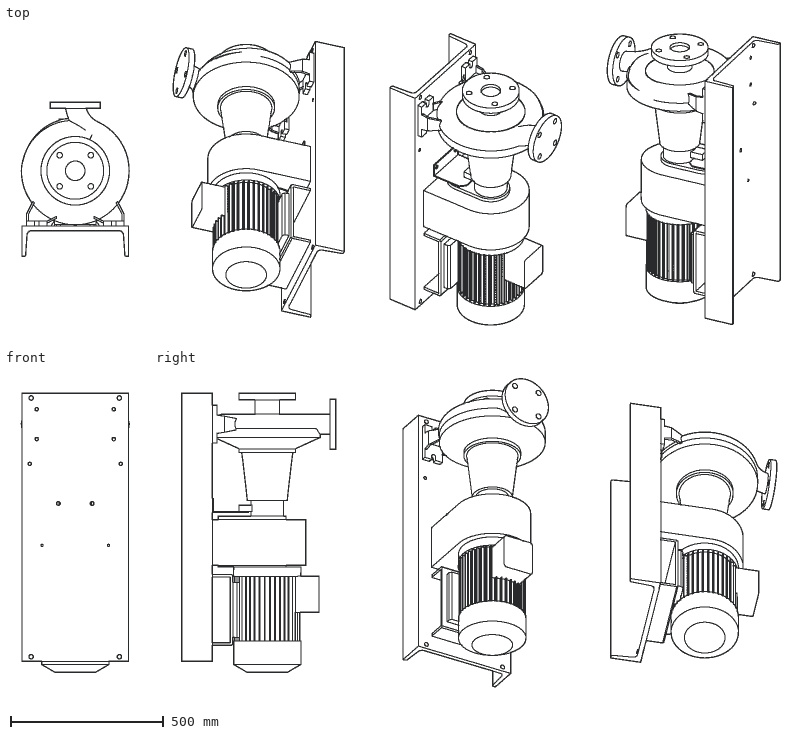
import cadquery as cq
import math


TOP_Z = 914.0
BASE_Y = -180.0
GUARD_TOP_Z = 500.0
GUARD_HEIGHT = 150.0
GUARD_BOTTOM_Z = GUARD_TOP_Z - GUARD_HEIGHT
COVER_TOP_THICK = 12.0
COVER_BOTTOM_THICK = 5.0
PUMP_BOTTOM_Z = GUARD_TOP_Z + COVER_TOP_THICK
MOTOR_TOP_Z = GUARD_BOTTOM_Z - COVER_BOTTOM_THICK

CHANNEL_WIDTH = 350.0
CHANNEL_DEPTH = 100.5
CHANNEL_LENGTH = 878.0
CHANNEL_WEB = 16.0
LEG_TIP = 13.0
LEG_ROOT = 18.0
CHANNEL_ROOT_FILLET = 15.0
CHANNEL_TIP_FILLET = 6.0
END_HOLE_X = 144.0
END_HOLE_INSET = 15.5
END_HOLE_DIA = 14.0
FOOT_HOLE_X = 126.0
FOOT_HOLE_DIA = 10.0
SPARE_HOLE_X = 149.0
SPARE_HOLE_Z = 683.0
SPARE_HOLE_DIA = 10.0
SUPPORT_HOLE_X = 55.0
SUPPORT_HOLE_Z = 553.0
SUPPORT_HOLE_DIA = 12.0
GUARD_HOLE_X = 109.0
GUARD_HOLE_Z = 416.0
GUARD_HOLE_DIA = 7.0

SUCTION_RADIUS = 93.0
SUCTION_THICK = 22.0
SUCTION_BOLT_RADIUS = 72.0
SUCTION_NECK_RADIUS = 40.0
BORE_RADIUS = 32.0
BORE_DEPTH = 11.0
BOLT_HOLE_DIA = 18.0
BOLT_COUNT = 4
FIRST_BOLT_ANGLE = 45

VOLUTE_Z = 813.0
VOLUTE_PATH_RADIUS = 143.5
VOLUTE_TUBE_DIA = 67.0
VOLUTE_TUBE_RADIUS = VOLUTE_TUBE_DIA / 2
VOLUTE_TAIL_HALF_WIDTH = 26.0
VOLUTE_TAIL_HALF_HEIGHT = 31.0
VOLUTE_TAIL_SECTIONS = 5

DISCHARGE_Y = 225.0
DISCHARGE_RADIUS = 82.0
DISCHARGE_THICK = 20.0
DISCHARGE_BOLT_RADIUS = 63.0

COVER_CONE_RADIUS = 112.0
COVER_CONE_Z = 828.0
COVER_HUB_Z = 841.0
CASING_RADIUS = 174.0
CASING_BOTTOM_Z = 769.0
COLLAR_RADIUS = SUCTION_RADIUS
COLLAR_TOP_Z = 732.0
COLLAR_BOTTOM_Z = 719.0
FRAME_TOP_RADIUS = 84.0
FRAME_BOTTOM_RADIUS = 66.0
FRAME_BOTTOM_Z = 562.0
BEARING_RADIUS = 54.0

LUG_WIDTH = 40.0
LUG_Y = -93.0
LUG_TOP_Z = 547.5

FOOT_OUTER_X = 160.0
FOOT_INNER_X = 93.0
FOOT_THICK = 15.5
FOOT_LENGTH = 124.0
FOOT_SLOT_WIDTH = 15.0
FOOT_SLOT_INSET = 13.0
RIB_THICK = 7.0
RIB_BEND_Y = -141.0
RIB_TIP_X = 139.0
RIB_TIP_Y = -100.5
RIB_TIP_HEIGHT = 37.5
RIB_BASE_HEIGHT = 61.0
INNER_RIB_BASE_Y = -165.0
INNER_RIB_TIP_X = 62.0
INNER_RIB_TIP_Y = -150.0
INNER_RIB_DROP = 6.0
FOOT_WEB_INNER_X = 79.5
FOOT_WEB_THICK = 9.0

SUPPORT_SHEET = 4.0
SUPPORT_WIDTH = 137.0
SUPPORT_CORNER = 18.0
SUPPORT_FRONT_Y = -61.0
SUPPORT_TOP_Z = 569.0
SUPPORT_SHELF_Z = 526.5

GUARD_RADIUS = 126.0
COVER_RADIUS = 62.0
COVER_SPACING = 99.0

MOTOR_RADIUS = 111.0
MOTOR_FLANGE_BOTTOM_Z = 314.0
HOOD_TOP_Z = 103.0
HOOD_CONE_Z = 26.0
HOOD_END_RADIUS = 67.0
FIN_RADIUS = 108.0
FIN_ROOT_RADIUS = 99.0
FIN_THICK = 3.0
FINS_PER_QUADRANT = 10
FIN_PITCH = 90 / FINS_PER_QUADRANT
BOX_WIDTH = 108.0
BOX_TOP_Y = 170.0
BOX_TOP_Z = 315.0
BOX_BOTTOM_Z = 196.5
BOX_FILLET = 10.0
PAD_TOP_Y = -91.0
PAD_TOP_Z = 294.0
PAD_BOTTOM_Z = 114.0
PAD_WIDTH = 212.0
PAD_CHAMFER = 7.0
STAND_DECK_Y = -112.0
STAND_WIDTH = 249.0
STAND_TOP_Z = 321.0
STAND_BOTTOM_Z = 89.0
STAND_THICK = 9.0
STAND_BEVEL = 5.0


def cylinder(radius, bottom, top):
    return cq.Workplane("XY").workplane(offset=bottom).circle(radius).extrude(top - bottom)


def box(x_range, y_range, z_range):
    """Axis-aligned block given by its limits along each axis."""
    (x0, x1), (y0, y1), (z0, z1) = x_range, y_range, z_range
    return cq.Workplane("XY").box(x1 - x0, y1 - y0, z1 - z0, centered=False).translate((x0, y0, z0))


def revolved(profile):
    """Revolve (radius, Z) points about the shaft axis."""
    return cq.Workplane("XZ").polyline(profile).close().revolve(360, (0, 0), (0, 1))


def slab(points, height, middle_z):
    """Extrude an XY outline symmetrically about a level."""
    outline = cq.Workplane("XY").workplane(offset=middle_z).polyline(points).close()
    return outline.extrude(height / 2, both=True)


def mirrored_pair(part):
    """The part and its mirror image across the YZ plane."""
    return part.union(part.mirror("YZ"))


def foot_slot_levels():
    reach = FOOT_LENGTH / 2 - FOOT_SLOT_INSET
    return [VOLUTE_Z - reach, VOLUTE_Z + reach]


def make_channel():
    half = CHANNEL_WIDTH / 2
    inner_y = BASE_Y - CHANNEL_WEB
    tip_y = BASE_Y - CHANNEL_DEPTH
    bottom_z = TOP_Z - CHANNEL_LENGTH
    outline = [
        (-half, BASE_Y), (half, BASE_Y), (half, tip_y), (half - LEG_TIP, tip_y),
        (half - LEG_ROOT, inner_y), (LEG_ROOT - half, inner_y),
        (LEG_TIP - half, tip_y), (-half, tip_y),
    ]
    channel = cq.Workplane("XY").workplane(offset=bottom_z).polyline(outline).close().extrude(CHANNEL_LENGTH)
    middle_z = bottom_z + CHANNEL_LENGTH / 2
    rounded_corners = [
        (half - LEG_ROOT, inner_y, CHANNEL_ROOT_FILLET),
        (half - LEG_TIP, tip_y, CHANNEL_TIP_FILLET),
    ]
    for x, y, radius in rounded_corners:
        for side in (-1, 1):
            corner = cq.selectors.NearestToPointSelector((side * x, y, middle_z))
            channel = channel.edges("|Z").edges(corner).fillet(radius)

    hole_rows = [
        (END_HOLE_X, TOP_Z - END_HOLE_INSET, END_HOLE_DIA),
        (END_HOLE_X, bottom_z + END_HOLE_INSET, END_HOLE_DIA),
        (SPARE_HOLE_X, SPARE_HOLE_Z, SPARE_HOLE_DIA),
        (SUPPORT_HOLE_X, SUPPORT_HOLE_Z, SUPPORT_HOLE_DIA),
        (GUARD_HOLE_X, GUARD_HOLE_Z, GUARD_HOLE_DIA),
    ]
    hole_rows += [(FOOT_HOLE_X, level, FOOT_HOLE_DIA) for level in foot_slot_levels()]
    for x, z, diameter in hole_rows:
        holes = (
            cq.Workplane("XZ", origin=(0, BASE_Y, 0))
            .pushPoints([(-x, z), (x, z)])
            .circle(diameter / 2)
            .extrude(CHANNEL_DEPTH / 2)
        )
        channel = channel.cut(holes)
    return channel


def volute_section(angle, half_width, half_height):
    """Oval tube section across the volute; every section shares the inner edge."""
    a = math.radians(angle)
    path_radius = VOLUTE_PATH_RADIUS - VOLUTE_TUBE_RADIUS + half_width
    center = cq.Vector(path_radius * math.cos(a), path_radius * math.sin(a), VOLUTE_Z)
    along = cq.Vector(-math.sin(a), math.cos(a), 0)
    return cq.Wire.makeEllipse(half_height, half_width, center, along, cq.Vector(0, 0, -1))


def make_volute():
    bend_radius = (DISCHARGE_Y**2 - VOLUTE_PATH_RADIUS**2) / (2 * VOLUTE_PATH_RADIUS)
    outlet_angle = math.degrees(math.atan2(DISCHARGE_Y, bend_radius))

    ring = (
        cq.Workplane("XZ")
        .center(VOLUTE_PATH_RADIUS, VOLUTE_Z)
        .circle(VOLUTE_TUBE_RADIUS)
        .revolve(180 + outlet_angle, (-VOLUTE_PATH_RADIUS, 0), (-VOLUTE_PATH_RADIUS, 1))
        .rotate((0, 0, 0), (0, 0, 1), 180)
    )
    bend = (
        cq.Workplane("XZ", origin=(0, DISCHARGE_Y, VOLUTE_Z))
        .circle(VOLUTE_TUBE_RADIUS)
        .revolve(outlet_angle, (bend_radius, 0), (bend_radius, 1))
    )
    sections = []
    for i in range(VOLUTE_TAIL_SECTIONS):
        share = i / (VOLUTE_TAIL_SECTIONS - 1)
        angle = 180 + share * (outlet_angle - 180)
        half_width = VOLUTE_TUBE_RADIUS + share * (VOLUTE_TAIL_HALF_WIDTH - VOLUTE_TUBE_RADIUS)
        half_height = VOLUTE_TUBE_RADIUS + share * (VOLUTE_TAIL_HALF_HEIGHT - VOLUTE_TUBE_RADIUS)
        sections.append(volute_section(angle, half_width, half_height))
    tail = cq.Workplane(cq.Solid.makeLoft(sections))
    return ring, bend, tail


def make_pump_feet():
    middle = VOLUTE_Z
    pad = box(
        (FOOT_INNER_X, FOOT_OUTER_X), (BASE_Y, BASE_Y + FOOT_THICK),
        (middle - FOOT_LENGTH / 2, middle + FOOT_LENGTH / 2),
    )
    for direction, level in zip((-1, 1), foot_slot_levels()):
        slot = (
            cq.Workplane("XZ", origin=(FOOT_HOLE_X, BASE_Y + FOOT_THICK, level))
            .circle(FOOT_SLOT_WIDTH / 2)
            .extrude(FOOT_THICK)
        )
        mouth = box(
            (FOOT_HOLE_X - FOOT_SLOT_WIDTH / 2, FOOT_HOLE_X + FOOT_SLOT_WIDTH / 2),
            (BASE_Y, BASE_Y + FOOT_THICK),
            sorted((level, level + direction * FOOT_SLOT_INSET)),
        )
        pad = pad.cut(slot).cut(mouth)

    outer_rib = slab(
        [
            (FOOT_OUTER_X, BASE_Y), (FOOT_OUTER_X, RIB_BEND_Y), (RIB_TIP_X, RIB_TIP_Y),
            (RIB_TIP_X - RIB_THICK, RIB_TIP_Y), (FOOT_OUTER_X - RIB_THICK, RIB_BEND_Y),
            (FOOT_OUTER_X - RIB_THICK, BASE_Y),
        ],
        FOOT_LENGTH, middle,
    )
    inner_rib = slab(
        [
            (FOOT_INNER_X, INNER_RIB_BASE_Y), (INNER_RIB_TIP_X, INNER_RIB_TIP_Y),
            (INNER_RIB_TIP_X, INNER_RIB_TIP_Y - INNER_RIB_DROP),
            (FOOT_INNER_X, INNER_RIB_BASE_Y - INNER_RIB_DROP),
        ],
        FOOT_LENGTH, middle,
    )
    pad_top = BASE_Y + FOOT_THICK
    taper = (
        cq.Workplane("YZ")
        .polyline([
            (RIB_TIP_Y, middle - RIB_TIP_HEIGHT / 2), (RIB_TIP_Y, middle + RIB_TIP_HEIGHT / 2),
            (pad_top, middle + RIB_BASE_HEIGHT / 2), (BASE_Y, middle + RIB_BASE_HEIGHT / 2),
            (BASE_Y, middle - RIB_BASE_HEIGHT / 2), (pad_top, middle - RIB_BASE_HEIGHT / 2),
        ])
        .close()
        .extrude(FOOT_OUTER_X)
    )
    web = slab(
        [
            (FOOT_WEB_INNER_X, BASE_Y), (FOOT_OUTER_X, BASE_Y), (FOOT_OUTER_X, RIB_BEND_Y),
            (RIB_TIP_X, RIB_TIP_Y), (INNER_RIB_TIP_X, INNER_RIB_TIP_Y),
            (INNER_RIB_TIP_X, INNER_RIB_TIP_Y - INNER_RIB_DROP),
        ],
        FOOT_WEB_THICK, middle,
    )
    foot = pad.union(outer_rib.union(inner_rib).intersect(taper)).union(web)
    return mirrored_pair(foot)


def make_pump():
    body = revolved([
        (0, TOP_Z), (SUCTION_RADIUS, TOP_Z), (SUCTION_RADIUS, TOP_Z - SUCTION_THICK),
        (SUCTION_NECK_RADIUS, TOP_Z - SUCTION_THICK), (SUCTION_NECK_RADIUS, COVER_HUB_Z),
        (COVER_CONE_RADIUS, COVER_CONE_Z), (COVER_CONE_RADIUS, VOLUTE_Z),
        (CASING_RADIUS, VOLUTE_Z), (CASING_RADIUS, CASING_BOTTOM_Z),
        (COLLAR_RADIUS, COLLAR_TOP_Z), (COLLAR_RADIUS, COLLAR_BOTTOM_Z),
        (FRAME_TOP_RADIUS, COLLAR_BOTTOM_Z), (FRAME_BOTTOM_RADIUS, FRAME_BOTTOM_Z),
        (BEARING_RADIUS, FRAME_BOTTOM_Z), (BEARING_RADIUS, PUMP_BOTTOM_Z), (0, PUMP_BOTTOM_Z),
    ])
    discharge_flange = (
        cq.Workplane("XZ", origin=(0, DISCHARGE_Y, VOLUTE_Z))
        .circle(DISCHARGE_RADIUS)
        .extrude(DISCHARGE_THICK)
    )
    lug = box((-LUG_WIDTH / 2, LUG_WIDTH / 2), (LUG_Y, 0), (SUPPORT_SHELF_Z, LUG_TOP_Z))
    pump = body.union(discharge_flange).union(lug).union(make_pump_feet())
    for piece in make_volute():
        pump = pump.union(piece)

    suction_bore = cylinder(BORE_RADIUS, TOP_Z - BORE_DEPTH, TOP_Z)
    suction_bolts = (
        cq.Workplane("XY", origin=(0, 0, TOP_Z))
        .polarArray(SUCTION_BOLT_RADIUS, FIRST_BOLT_ANGLE, 360, BOLT_COUNT)
        .circle(BOLT_HOLE_DIA / 2)
        .extrude(-SUCTION_THICK)
    )
    discharge_bolts = (
        cq.Workplane("XZ", origin=(0, DISCHARGE_Y, VOLUTE_Z))
        .polarArray(DISCHARGE_BOLT_RADIUS, FIRST_BOLT_ANGLE, 360, BOLT_COUNT)
        .circle(BOLT_HOLE_DIA / 2)
        .extrude(DISCHARGE_THICK)
    )
    return pump.cut(suction_bore).cut(suction_bolts).cut(discharge_bolts)


def make_support():
    half = SUPPORT_WIDTH / 2
    shelf_bottom = SUPPORT_SHELF_Z - SUPPORT_SHEET
    shelf = box((-half, half), (BASE_Y, SUPPORT_FRONT_Y), (shelf_bottom, SUPPORT_SHELF_Z))
    shelf = shelf.faces(">Y").edges("|Z").chamfer(SUPPORT_CORNER)
    shelf = shelf.cut(cylinder(BEARING_RADIUS, shelf_bottom, SUPPORT_SHELF_Z))
    upright = box((-half, half), (BASE_Y, BASE_Y + SUPPORT_SHEET), (shelf_bottom, SUPPORT_TOP_Z))
    holes = (
        cq.Workplane("XZ", origin=(0, BASE_Y + SUPPORT_SHEET, 0))
        .pushPoints([(-SUPPORT_HOLE_X, SUPPORT_HOLE_Z), (SUPPORT_HOLE_X, SUPPORT_HOLE_Z)])
        .circle(SUPPORT_HOLE_DIA / 2)
        .extrude(SUPPORT_SHEET)
    )
    return shelf.union(upright).cut(holes)


def make_guard():
    dome = cylinder(GUARD_RADIUS, GUARD_BOTTOM_Z, GUARD_TOP_Z)
    sides = box((-GUARD_RADIUS, GUARD_RADIUS), (BASE_Y, 0), (GUARD_BOTTOM_Z, GUARD_TOP_Z))
    covers = (
        cq.Workplane("XY", origin=(0, -COVER_SPACING / 2, MOTOR_TOP_Z))
        .slot2D(COVER_SPACING + 2 * COVER_RADIUS, 2 * COVER_RADIUS, 90)
        .extrude(PUMP_BOTTOM_Z - MOTOR_TOP_Z)
    )
    return dome.union(sides).union(covers)


def make_fins():
    """Finned barrel: in each quadrant the fins are parallel and their tips are evenly spaced in angle."""
    barrel = cylinder(FIN_ROOT_RADIUS, HOOD_TOP_Z, MOTOR_FLANGE_BOTTOM_Z)
    first_angle = -(FINS_PER_QUADRANT - 1) / 2 * FIN_PITCH
    fins = []
    for quadrant in range(4):
        for i in range(FINS_PER_QUADRANT):
            angle = math.radians(first_angle + i * FIN_PITCH)
            tip_x = FIN_RADIUS * math.cos(angle)
            middle_y = FIN_RADIUS * math.sin(angle)
            fin = box(
                (tip_x / 2, tip_x), (middle_y - FIN_THICK / 2, middle_y + FIN_THICK / 2),
                (HOOD_TOP_Z, MOTOR_FLANGE_BOTTOM_Z),
            )
            fins.append(fin.rotate((0, 0, 0), (0, 0, 1), 90 * quadrant).val())
    return cq.Workplane(barrel.val().fuse(*fins))


def make_stand():
    """Bent stand that carries the motor feet above the channel."""
    half = STAND_WIDTH / 2
    stand = box((-half, half), (BASE_Y, STAND_DECK_Y), (STAND_BOTTOM_Z, STAND_TOP_Z))
    stand = stand.faces(">Y").edges("|X").chamfer(STAND_BEVEL)
    opening = box(
        (-half, half), (BASE_Y, STAND_DECK_Y - STAND_THICK),
        (STAND_BOTTOM_Z + STAND_THICK, STAND_TOP_Z - STAND_THICK),
    )
    return stand.cut(opening)


def make_motor():
    ends = revolved([
        (0, 0), (HOOD_END_RADIUS, 0), (MOTOR_RADIUS, HOOD_CONE_Z),
        (MOTOR_RADIUS, HOOD_TOP_Z), (0, HOOD_TOP_Z),
    ]).union(cylinder(MOTOR_RADIUS, MOTOR_FLANGE_BOTTOM_Z, MOTOR_TOP_Z))
    terminal_box = box((-BOX_WIDTH / 2, BOX_WIDTH / 2), (0, BOX_TOP_Y), (BOX_BOTTOM_Z, BOX_TOP_Z))
    terminal_box = terminal_box.edges("|Y").fillet(BOX_FILLET)
    pads = box((-PAD_WIDTH / 2, PAD_WIDTH / 2), (STAND_DECK_Y, PAD_TOP_Y), (PAD_BOTTOM_Z, PAD_TOP_Z))
    pads = pads.faces(">Y").edges("|Z").chamfer(PAD_CHAMFER)
    return make_fins().union(ends).union(terminal_box).union(pads).union(make_stand())


channel = make_channel()
pump = make_pump()
support = make_support()
guard = make_guard()
motor = make_motor()
bodies = [channel, pump, support, guard, motor]
result = cq.Compound.makeCompound([body.solids().val() for body in bodies])